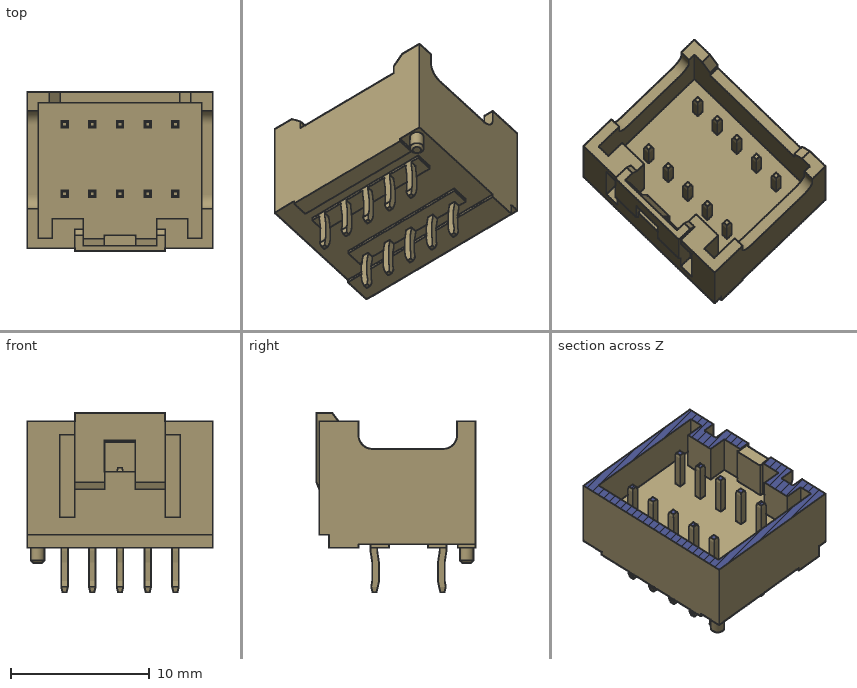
import cadquery as cq


body_width = 13.4
body_depth = 11.3
body_base = 0.25
body_top = 9.15
pin_pitch = 2.0
row_spacing = 5.0
back_to_row = 2.35
side_wall = 0.8
back_wall = 0.8
front_wall = 0.75
floor_top = 2.65

y_back = row_spacing / 2 + back_to_row
y_front = y_back - body_depth
y_cavity_front = y_front + front_wall
cavity_half = body_width / 2 - side_wall

scallop_from_back = 1.35
scallop_length = 7.1
scallop_depth = 2.0
scallop_radius = 1.0
back_notch_top_half = 5.1
back_notch_low_half = 4.3
back_notch_depth = 1.5
back_notch_chamfer_height = 0.8

pad_outer_half = 4.9
slot_half = 2.65
pad_depth = 2.15
recess_outer_half = 4.35
recess_bottom = 2.2
recess_top = 8.15
recess_depth = 0.95

latch_half = 3.25
latch_top = 9.75
latch_proud = 0.2
latch_depth = 1.6
latch_wall = 0.4
latch_top_chamfer_run = 0.45
latch_bottom = 4.25
latch_chamfer_top = 4.75
latch_wall_foot = 0.7
window_half = 1.1
window_bottom = 5.5
window_top = 7.75
rib_half = 1.14
rib_depth = 0.95

y_latch_front = y_front - latch_proud
y_latch_back = y_latch_front + latch_depth
y_latch_inner = y_latch_front + latch_wall

front_step_depth = 0.7
front_step_top = 0.95
front_foot_length = 2.15
back_foot_length = 1.3
row_foot_length = 1.35
foot_half = pad_outer_half
peg_diameter = 1.0
peg_x = -5.94
peg_from_back = 0.65
peg_bottom = -1.1
peg_chamfer = 0.2

pins_per_row = 5
pin_width = 0.5
pin_tip_width = 0.3
pin_top = 5.8
pin_top_taper = 0.45
pin_bottom = -3.2
pin_tip_start = -2.8
pin_bend_start = -0.2
pin_bend_end = -1.05
pin_return_start = -2.4
pin_bend_offset = 0.13
pin_tip_offset = 0.05


def box(x0, x1, y0, y1, z0, z1):
    """Box given by its limits along each axis."""
    return cq.Workplane("XY").box(x1 - x0, y1 - y0, z1 - z0, centered=False).translate((x0, y0, z0))


def prism_along_x(points_yz, half_width):
    """Closed Y-Z outline extruded symmetrically about X = 0."""
    return cq.Workplane("YZ").polyline(points_yz).close().extrude(half_width, both=True)


def make_shell():
    """Open-topped housing with its cavity and the pads beside the latch slot."""
    half = body_width / 2
    shell = box(-half, half, y_front, y_back, body_base, body_top)
    cavity = box(-cavity_half, cavity_half, y_cavity_front, y_back - back_wall, floor_top, body_top)
    shell = shell.cut(cavity)
    for side in (-1, 1):
        x0, x1 = sorted((side * slot_half, side * pad_outer_half))
        shell = shell.union(box(x0, x1, y_front, y_front + pad_depth, body_base, body_top))
    front_step = box(-half, half, y_front, y_front + front_step_depth, body_base, front_step_top)
    return shell.cut(front_step)


def make_side_scallops():
    """Round-bottomed cut through the tops of both side walls."""
    y1 = y_back - scallop_from_back
    tall_cut = box(-body_width / 2, body_width / 2, y1 - scallop_length, y1,
                   body_top - scallop_depth, latch_top)
    tall_cut = tall_cut.edges("|X and <Z").fillet(scallop_radius)
    interior = box(-cavity_half, cavity_half, y_front, y_back, body_base, latch_top)
    return tall_cut.cut(interior)


def make_back_notch():
    """Opening in the top of the back wall with sloped upper corners."""
    slope_end = body_top - back_notch_chamfer_height
    bottom = body_top - back_notch_depth
    outline = [
        (-back_notch_top_half, body_top),
        (-back_notch_low_half, slope_end),
        (-back_notch_low_half, bottom),
        (back_notch_low_half, bottom),
        (back_notch_low_half, slope_end),
        (back_notch_top_half, body_top),
    ]
    return cq.Workplane("XZ").polyline(outline).close().extrude(back_wall).translate((0, y_back, 0))


def add_latch(shell):
    """Latch plate proud of the front face, its slot, and the windowed rib at mid-width."""
    latch = prism_along_x([
        (y_front, latch_bottom),
        (y_latch_front, latch_chamfer_top),
        (y_latch_front, latch_top),
        (y_latch_back - latch_top_chamfer_run, latch_top),
        (y_latch_back, body_top),
        (y_latch_back, latch_bottom),
    ], latch_half)
    slot = prism_along_x([
        (y_front + latch_wall_foot, floor_top),
        (y_front + latch_wall_foot, window_top),
        (y_latch_inner, latch_top),
        (y_latch_back, latch_top),
        (y_latch_back, floor_top),
    ], slot_half)
    window = box(-window_half, window_half, y_latch_front, y_latch_back, window_bottom, window_top)
    window_entry = box(-window_half, window_half, y_latch_front, y_front, latch_bottom, window_bottom)
    rib = prism_along_x([
        (y_front, floor_top),
        (y_front, latch_top),
        (y_latch_inner, latch_top),
        (y_front + rib_depth, window_top),
        (y_front + rib_depth, floor_top),
    ], rib_half)
    return shell.union(latch).cut(slot).union(rib).cut(window).cut(window_entry)


def make_recess(side):
    """Blind recess in the front face beside the latch."""
    x0, x1 = sorted((side * latch_half, side * recess_outer_half))
    return box(x0, x1, y_latch_front, y_front + recess_depth, recess_bottom, recess_top)


def make_feet():
    """Low standoff bars under the housing."""
    y_foot_front = y_front + front_step_depth
    half = body_width / 2
    feet = box(-half, half, y_foot_front, y_foot_front + front_foot_length, 0, front_step_top)
    feet = feet.union(box(-foot_half, foot_half, y_back - back_foot_length, y_back, 0, body_base))
    for side in (-1, 1):
        outer = side * (row_spacing + pin_width) / 2
        y0, y1 = sorted((outer, outer - side * row_foot_length))
        feet = feet.union(box(-foot_half, foot_half, y0, y1, 0, body_base))
    return feet


def make_peg():
    """Round locating peg near one back corner."""
    peg = cq.Workplane("XY").circle(peg_diameter / 2).extrude(body_base - peg_bottom)
    peg = peg.faces("<Z").chamfer(peg_chamfer)
    return peg.translate((peg_x, y_back - peg_from_back, peg_bottom))


def make_pin():
    """Square back-row pin centred on X = Y = 0, its tail kinked toward -Y."""
    half = pin_width / 2
    tip = pin_tip_width / 2
    stations = [
        (pin_bottom, -pin_tip_offset, tip),
        (pin_tip_start, -pin_tip_offset, half),
        (pin_return_start, -pin_bend_offset, half),
        (pin_bend_end, -pin_bend_offset, half),
        (pin_bend_start, 0, half),
        (pin_top - pin_top_taper, 0, half),
        (pin_top, 0, tip),
    ]
    left = [(offset - reach, z) for z, offset, reach in stations]
    right = [(offset + reach, z) for z, offset, reach in reversed(stations)]
    kinked = prism_along_x(left + right, half)
    front_left = [(-reach, z) for z, offset, reach in stations]
    front_right = [(reach, z) for z, offset, reach in reversed(stations)]
    tapered = cq.Workplane("XZ").polyline(front_left + front_right).close().extrude(pin_width, both=True)
    return kinked.intersect(tapered)


def add_pins(housing):
    """Two mirrored rows of pins through the floor."""
    back_pin = make_pin().translate((0, row_spacing / 2, 0))
    front_pin = back_pin.mirror("XZ")
    for index in range(pins_per_row):
        x = (index - (pins_per_row - 1) / 2) * pin_pitch
        housing = housing.union(back_pin.translate((x, 0, 0)))
        housing = housing.union(front_pin.translate((x, 0, 0)))
    return housing


housing = make_shell().cut(make_side_scallops()).cut(make_back_notch())
housing = add_latch(housing)
housing = housing.cut(make_recess(-1)).cut(make_recess(1))
housing = housing.union(make_feet()).union(make_peg())
result = add_pins(housing)